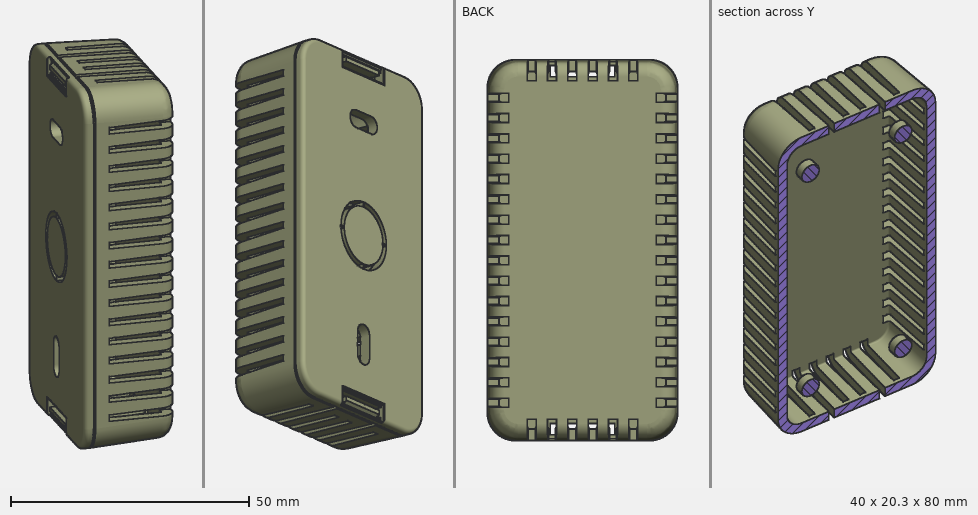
import cadquery as cq
import math

width = 40.0
height = 80.0
depth = 20.3
corner_radius = 6.0

rim_depth = 2.0
gap = 0.5
seam = rim_depth + gap
plate_edge_fillet = 1.0

draft = 2.0
wall = 2.4
back_wall = 2.5
back_fillet = 3.0
inner_fillet = 0.4

side_slot_count = 16
side_slot_span = 64.0
slot_pitch = side_slot_span / (side_slot_count - 1)
end_slot_count = 6
slot_floor = 5.5
slot_width = 1.9
slot_draft = 1.0
slot_reach = 4.5
tongue_slots = (1, end_slot_count - 2)

hook_width = 10.9
hook_tip = 0.2
tip_inset = 1.4
barb_inset = 0.8
catch_face = 1.0
bridge_face = 0.7
bridge_ridge = 0.4
bridge_thickness = 1.3
pocket_width = 13.5
pocket_inset = 4.0
pocket_chamfer = 0.2
opening_inset = 3.6

mount_length = 9.0
mount_width = 3.9
upper_mount_z = 25.5
lower_mount_z = -24.5

knockout_outer_radius = 7.5
knockout_inner_radius = 6.4
web_width = 0.3

post_radius = 2.2
post_x = 11.7
post_z = 29.0
post_top = 6.6


def facing_back(y):
    """Workplane at depth y whose normal points to +Y and whose second axis is Z."""
    return cq.Workplane(cq.Plane(origin=(0, y, 0), xDir=(-1, 0, 0), normal=(0, 1, 0)))


def at_both_ends(solid):
    """The solid and its mirror image at the opposite end of the part."""
    return (solid, solid.mirror("XY"))




def drafted_block(y_end, inset, edge_fillet):
    """Block with drafted walls from the seam to y_end, rounded at its corners and back edge."""
    block = facing_back(seam).rect(width - 2 * inset, height - 2 * inset)
    block = block.extrude(y_end - seam, taper=draft)
    block = block.edges("not(#Y)").fillet(corner_radius - inset)
    return block.faces(">Y").edges().fillet(edge_fillet)


def slot_cutter(plane, position, floor, half_length):
    """Cutter for one slot at each of two opposite walls; the plane's second axis is Y."""
    back_half = slot_width / 2
    floor_half = back_half - (depth - floor) * math.tan(math.radians(slot_draft))
    outline = cq.Workplane(plane).polyline(
        [
            (position - floor_half, floor),
            (position + floor_half, floor),
            (position + back_half, depth),
            (position - back_half, depth),
        ]
    ).close()
    full = outline.extrude(half_length, both=True)
    core = cq.Workplane(plane).rect(2 * height, 2 * height).extrude(half_length - slot_reach, both=True)
    return full.cut(core)


def slot_positions(count):
    return [(index - (count - 1) / 2) * slot_pitch for index in range(count)]


def cut_side_slots(cover):
    along_x = cq.Plane(origin=(0, 0, 0), xDir=(0, 0, -1), normal=(1, 0, 0))
    for position in slot_positions(side_slot_count):
        cover = cover.cut(slot_cutter(along_x, position, slot_floor, width / 2))
    return cover


def cut_end_slots(cover):
    for index, position in enumerate(slot_positions(end_slot_count)):
        floor = seam if index in tongue_slots else slot_floor
        cover = cover.cut(slot_cutter(cq.Plane.XY(), position, floor, height / 2))
    return cover


def make_hook():
    """Hook continuing the top wall's tongue through the plate, its barb in front of the bridge."""
    end = height / 2
    return (
        cq.Workplane("YZ", origin=(-hook_width / 2, 0, 0))
        .moveTo(seam, end - wall)
        .lineTo(hook_tip, end - wall)
        .lineTo(hook_tip, end - tip_inset)
        .lineTo(catch_face, end - barb_inset)
        .lineTo(catch_face, end - bridge_thickness)
        .lineTo(seam, end - bridge_thickness)
        .close()
        .extrude(hook_width)
    )


def make_cover():
    cover = drafted_block(depth, 0, back_fillet)
    cover = cover.cut(drafted_block(depth - back_wall, wall, inner_fillet))
    cover = cut_side_slots(cover)
    cover = cut_end_slots(cover)
    for hook in at_both_ends(make_hook()):
        cover = cover.union(hook)
    return cover




def plate_layer(y_start, y_end, inset):
    """Flat layer of the plate with rounded corners, set in from the part's outline."""
    layer = facing_back(y_start).rect(width - 2 * inset, height - 2 * inset).extrude(y_end - y_start)
    return layer.edges("|Y").fillet(corner_radius - inset)


def make_opening():
    """Cutter for the top hook: a pocket in the front with a through opening behind the bridge."""
    end = height / 2
    opening = (
        cq.Workplane("YZ", origin=(-pocket_width / 2, 0, 0))
        .moveTo(0, end)
        .lineTo(bridge_face, end)
        .lineTo(bridge_face, end - bridge_ridge)
        .lineTo(catch_face, end - barb_inset)
        .lineTo(catch_face, end - bridge_thickness)
        .lineTo(seam, end - bridge_thickness)
        .lineTo(seam, end - opening_inset)
        .lineTo(bridge_face, end - opening_inset)
        .lineTo(bridge_face, end - pocket_inset)
        .lineTo(0, end - pocket_inset)
        .close()
        .extrude(pocket_width)
    )
    rim = facing_back(0).center(0, end)
    rim = rim.rect(pocket_width + 2 * pocket_chamfer, 2 * (pocket_inset + pocket_chamfer))
    return opening.union(rim.extrude(pocket_chamfer, taper=45))


def make_mounts():
    upper = facing_back(0).center(0, upper_mount_z).slot2D(mount_length, mount_width).extrude(seam)
    lower = facing_back(0).center(0, lower_mount_z).slot2D(mount_length, mount_width, 90).extrude(seam)
    return upper.union(lower)


def make_knockout_ring():
    """Cutter for the ring-shaped slot, left out where the four webs stand."""
    ring = facing_back(0).circle(knockout_outer_radius).circle(knockout_inner_radius).extrude(seam)
    span = 2 * knockout_outer_radius
    webs = facing_back(0).rect(span, web_width).extrude(seam)
    webs = webs.union(facing_back(0).rect(web_width, span).extrude(seam))
    return ring.cut(webs)


def make_plate():
    plate = plate_layer(0, rim_depth, 0).faces("<Y").edges().fillet(plate_edge_fillet)
    plate = plate.union(plate_layer(rim_depth, seam, gap))
    for opening in at_both_ends(make_opening()):
        plate = plate.cut(opening)
    plate = plate.cut(make_mounts()).cut(make_knockout_ring())
    posts = facing_back(seam).rect(2 * post_x, 2 * post_z, forConstruction=True).vertices()
    return plate.union(posts.circle(post_radius).extrude(post_top - seam))


cover = make_cover()
plate = make_plate()

result = cq.Compound.makeCompound([cover.solids().val(), plate.solids().val()])